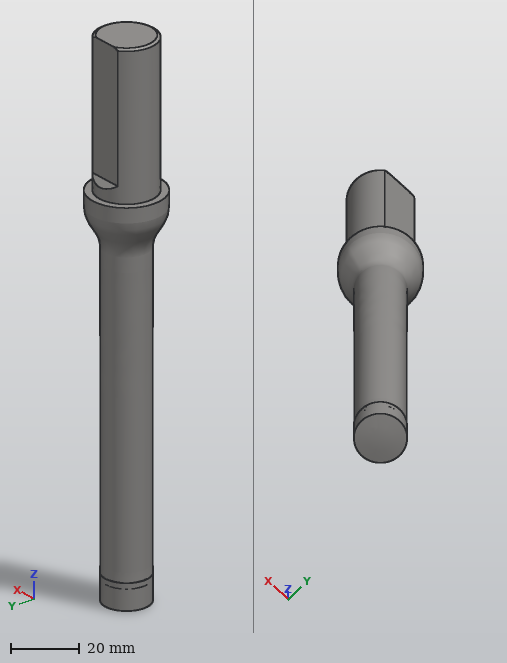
import cadquery as cq
import math

shank_diameter = 20.0
shank_length = 50.0
shank_chamfer_width = 1.0
shank_chamfer_height = 0.6
flat_distance = 8.0
flat_ramp_start = 44.3
flat_ramp_angle = math.radians(45)

collar_diameter = 25.0
collar_height = 5.0
neck_height = 13.2

stem_diameter = 15.6
relief_diameter = 15.44
guide_land_height = 5.0
taper_length = 40.6
relief_length = 56.3
flare_length = 3.3

crown_height = 0.6
plug_diameter = 14.9
plug_depth = 2.0

total_length = 183.0

shank_bottom = total_length - shank_length
collar_bottom = shank_bottom - collar_height
neck_bottom = collar_bottom - neck_height
land_bottom = neck_bottom - guide_land_height
taper_bottom = land_bottom - taper_length
relief_bottom = taper_bottom - relief_length
head_top = relief_bottom - flare_length
plug_bottom = head_top - plug_depth

shank_radius = shank_diameter / 2
collar_radius = collar_diameter / 2
stem_radius = stem_diameter / 2
plug_radius = plug_diameter / 2
relief_radius = relief_diameter / 2


def make_holder():
    """Turned shank, collar, S-curved neck and stem, ending in a plug for the head."""
    body = (
        cq.Workplane("XZ")
        .moveTo(0, total_length)
        .lineTo(shank_radius - shank_chamfer_width, total_length)
        .lineTo(shank_radius, total_length - shank_chamfer_height)
        .lineTo(shank_radius, shank_bottom)
        .lineTo(collar_radius, shank_bottom)
        .lineTo(collar_radius, collar_bottom)
        .spline([(stem_radius, neck_bottom)], tangents=[(0, -1), (0, -1)], includeCurrent=True)
        .lineTo(stem_radius, land_bottom)
        .lineTo(relief_radius, taper_bottom)
        .lineTo(relief_radius, relief_bottom)
        .lineTo(stem_radius, head_top)
        .lineTo(plug_radius, head_top)
        .lineTo(plug_radius, plug_bottom)
        .lineTo(0, plug_bottom)
        .close()
        .revolve(360, (0, 0), (0, 1))
    )
    return body.cut(make_flat_cutter())


def make_flat_cutter():
    """Prism that mills the flat on +Y and its sloping run-out."""
    depth = shank_radius - flat_distance
    ramp_top = total_length - flat_ramp_start
    ramp_bottom = ramp_top - depth / math.tan(flat_ramp_angle)
    return (
        cq.Workplane("YZ")
        .moveTo(flat_distance, total_length)
        .lineTo(flat_distance, ramp_top)
        .lineTo(shank_radius, ramp_bottom)
        .lineTo(shank_radius, total_length)
        .close()
        .extrude(shank_radius, both=True)
    )


def make_cutting_head():
    """Cap with a recess for the holder's plug and a domed end face."""
    dome_radius = (stem_radius**2 + crown_height**2) / (2 * crown_height)
    crown_mid_radius = stem_radius / 2
    crown_mid_height = dome_radius - math.sqrt(dome_radius**2 - crown_mid_radius**2)
    return (
        cq.Workplane("XZ")
        .moveTo(0, plug_bottom)
        .lineTo(plug_radius, plug_bottom)
        .lineTo(plug_radius, head_top)
        .lineTo(stem_radius, head_top)
        .lineTo(stem_radius, crown_height)
        .threePointArc((crown_mid_radius, crown_mid_height), (0, 0))
        .close()
        .revolve(360, (0, 0), (0, 1))
    )


holder = make_holder()
cutting_head = make_cutting_head()

result = cq.Compound.makeCompound([holder.val(), cutting_head.val()])